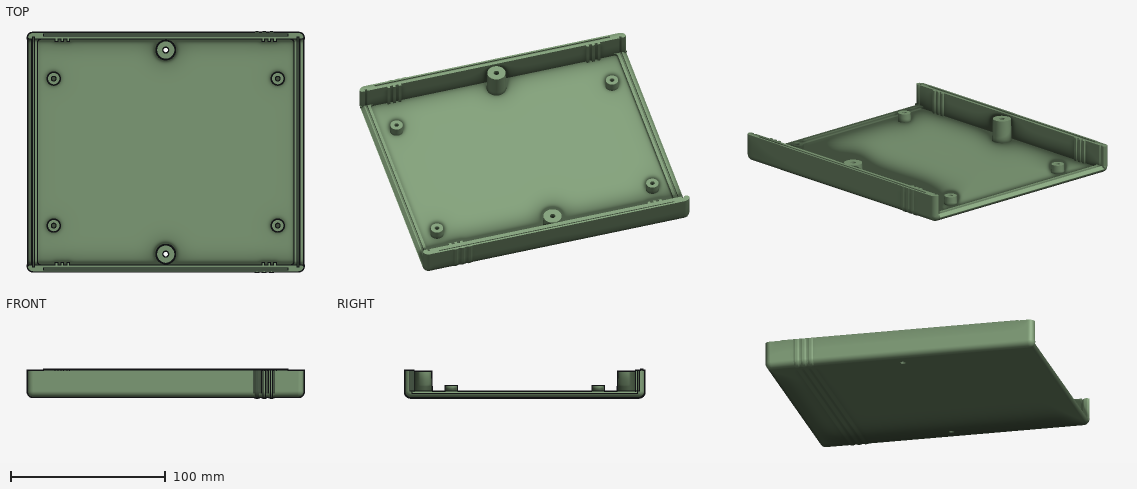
import cadquery as cq

length = 179.0
grip_bulge = 0.4
tongue_height = 0.7
overall_width = 155.5
overall_height = 19.0
shell_width = overall_width - 2 * grip_bulge
shell_height = overall_height - grip_bulge - tongue_height
corner_radius = 4.0
bottom_radius = 4.0

floor_z = 2.5
cavity_length = 165.8
cavity_width = 145.7
cavity_corner_radius = 2.3
cavity_floor_radius = 1.0
sill_z = 4.3
sill_edge_z = 2.7
sill_land = 0.5
sill_bevel_run = 2.1
wall_end_bevel = 1.3

panel_slot_width = 1.5
panel_slot_center_x = 85.4
panel_slot_length = 148.5
panel_slot_floor_z = 2.9

joint_length = 157.9
joint_width = 1.5
joint_center_y = 75.5
groove_depth = 0.9

wall_rib_width = 1.8
wall_rib_depth = 1.5
wall_rib_pitch = 3.8
wall_rib_count = 3
wall_rib_group_x = 66.8

post_y = 65.9
post_base_diameter = 12.7
post_top_diameter = 11.8
post_top_z = 17.2
post_hole_diameter = 3.5
boss_x = 72.3
boss_y = 47.5
boss_base_diameter = 8.6
boss_top_diameter = 8.0
boss_top_z = 8.0
boss_hole_diameter = 3.0

grip_count = 3
grip_pitch = 4.7
grip_width = 3.5
grip_crest_width = 1.5
grip_start_x = 57.1
grip_root_depth = 0.5


def box_from(size_x, size_y, bottom_z, top_z, x=0.0, y=0.0):
    """Upright box centred on (x, y) between two heights."""
    height = top_z - bottom_z
    return cq.Workplane("XY", origin=(x, y, bottom_z)).rect(size_x, size_y).extrude(height)


def make_shell():
    """Round-edged block hollowed from above; only the end edges of the cavity floor are filleted."""
    shell = box_from(length, shell_width, 0, shell_height)
    shell = shell.edges("|Z").fillet(corner_radius).faces("<Z").edges().fillet(bottom_radius)
    block = box_from(cavity_length, cavity_width, floor_z, shell_height)
    round_corners = block.edges("|Z").fillet(cavity_corner_radius)
    round_floor_ends = block.faces("<Z").edges("|Y").fillet(cavity_floor_radius)
    return shell.cut(round_corners.intersect(round_floor_ends))


def open_ends():
    """Space above both bevelled sills, widened by bevels at the wall ends."""
    half_length = length / 2
    bevel_outer_x = half_length - sill_land
    bevel_inner_x = bevel_outer_x - sill_bevel_run
    opening = (
        cq.Workplane("XZ", origin=(0, cavity_width / 2, 0))
        .moveTo(-half_length, shell_height)
        .lineTo(-half_length, sill_edge_z)
        .lineTo(-bevel_outer_x, sill_edge_z)
        .lineTo(-bevel_inner_x, sill_z)
        .lineTo(bevel_inner_x, sill_z)
        .lineTo(bevel_outer_x, sill_edge_z)
        .lineTo(half_length, sill_edge_z)
        .lineTo(half_length, shell_height)
        .close()
        .extrude(cavity_width)
    )
    wall_bevels = (
        cq.Workplane("XY", origin=(0, 0, sill_z))
        .rect(length, cavity_width, forConstruction=True)
        .vertices()
        .polygon(4, 2 * wall_end_bevel)
        .extrude(shell_height - sill_z)
    )
    return opening.union(wall_bevels)


def grip_band():
    """Row of low ribs with sloping flanks swept over the -Y wall, the underside and the +Y wall."""
    half_width = shell_width / 2
    path = (
        cq.Workplane("YZ")
        .moveTo(-half_width, shell_height)
        .lineTo(-half_width, bottom_radius)
        .radiusArc((-half_width + bottom_radius, 0), -bottom_radius)
        .lineTo(half_width - bottom_radius, 0)
        .radiusArc((half_width, bottom_radius), -bottom_radius)
        .lineTo(half_width, shell_height)
    )
    root_y = -half_width + grip_root_depth
    crest_y = -half_width - grip_bulge
    flank = (grip_width - grip_crest_width) / 2
    end_x = grip_start_x + (grip_count - 1) * grip_pitch + grip_width
    profile = cq.Workplane("XY", origin=(0, 0, shell_height)).moveTo(grip_start_x, root_y)
    for index in range(grip_count):
        left_x = grip_start_x + index * grip_pitch
        profile = profile.lineTo(left_x, -half_width)
        profile = profile.lineTo(left_x + flank, crest_y)
        profile = profile.lineTo(left_x + flank + grip_crest_width, crest_y)
        profile = profile.lineTo(left_x + grip_width, -half_width)
    return profile.lineTo(end_x, root_y).close().sweep(path)


def wall_ribs():
    """Four groups of upright ribs, one near each end of both side walls."""
    ribs = cq.Workplane("XY")
    rib_y = (cavity_width - wall_rib_depth) / 2
    for side_x in (-1, 1):
        for side_y in (-1, 1):
            for index in range(wall_rib_count):
                offset = (index - (wall_rib_count - 1) / 2) * wall_rib_pitch
                x = side_x * wall_rib_group_x + offset
                ribs = ribs.union(
                    box_from(wall_rib_width, wall_rib_depth, floor_z, shell_height, x, side_y * rib_y)
                )
    return ribs


def tapered_post(base_diameter, top_diameter, top_z, x, y):
    """Round post that stands on the floor and narrows towards its top."""
    return (
        cq.Workplane("XY", origin=(x, y, floor_z))
        .circle(base_diameter / 2)
        .workplane(offset=top_z - floor_z)
        .circle(top_diameter / 2)
        .loft()
    )


def hole(diameter, bottom_z, top_z, x, y):
    """Vertical cylinder to be cut away."""
    return cq.Workplane("XY", origin=(x, y, bottom_z)).circle(diameter / 2).extrude(top_z - bottom_z)


result = make_shell().cut(open_ends()).union(grip_band()).union(wall_ribs())

for side in (-1, 1):
    result = result.cut(
        box_from(panel_slot_width, panel_slot_length, panel_slot_floor_z, shell_height,
                 side * panel_slot_center_x)
    )

result = result.union(
    box_from(joint_length, joint_width, shell_height, shell_height + tongue_height, y=joint_center_y)
)
result = result.cut(
    box_from(joint_length, joint_width, shell_height - groove_depth, shell_height, y=-joint_center_y)
)

for side in (-1, 1):
    post = tapered_post(post_base_diameter, post_top_diameter, post_top_z, 0, side * post_y)
    post_hole = hole(post_hole_diameter, 0, post_top_z, 0, side * post_y)
    result = result.union(post).cut(post_hole)

for side_x in (-1, 1):
    for side_y in (-1, 1):
        x = side_x * boss_x
        y = side_y * boss_y
        boss = tapered_post(boss_base_diameter, boss_top_diameter, boss_top_z, x, y)
        boss_hole = hole(boss_hole_diameter, floor_z, boss_top_z, x, y)
        result = result.union(boss).cut(boss_hole)